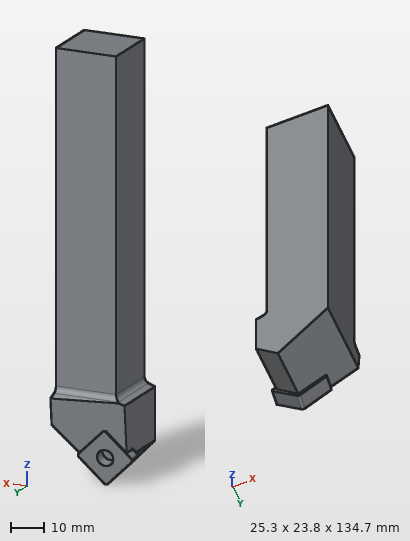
import cadquery as cq
import math

overall_height = 134.7
shank_size = 19.9

head_width = 23.4
shoulder_top = 28.7
shoulder_radius = 2.0
shoulder_angle = 20.0
head_right_corner = 17.4
head_left_corner = 9.2
head_tip_x = -16.3
head_tip_z = 1.8

rake_slope = 0.1
rake_depth = 23.8
rake_height = 26.1
cutter_size = 107.7

insert_side = 12.7
insert_thickness = 4.7
insert_corner_radius = 0.8
insert_hole_diameter = 5.1
insert_proud = 0.4
insert_center_x = -16.7
insert_center_z = 8.6
insert_turn = 45.0


def rake_plane(x, z, lift=0.0):
    """Plane on the rake face at (x, z), facing rearward, raised along its normal."""
    depth = rake_depth + rake_slope * (x + z - rake_height)
    face = cq.Plane(
        origin=(x, depth, z),
        xDir=(1, rake_slope, 0),
        normal=(-rake_slope, 1, -rake_slope),
    )
    return cq.Plane(origin=face.toWorldCoords((0, 0, lift)), xDir=face.xDir, normal=face.zDir)


def shoulder_points(reach):
    """Shoulder as (distance out, height): arc start, middle, end, then the slope at reach."""
    def on_arc(turn):
        angle = math.radians(turn)
        out = shank_size + shoulder_radius * (1 - math.cos(angle))
        return out, shoulder_top - shoulder_radius * math.sin(angle)

    arc_turn = 90 - shoulder_angle
    end_out, end_height = on_arc(arc_turn)
    drop = (reach - end_out) * math.tan(math.radians(shoulder_angle))
    return [on_arc(0), on_arc(arc_turn / 2), (end_out, end_height), (reach, end_height - drop)]


def front_prism(depth):
    """Shank and pointed head outlined in XZ, running rearward from the front face."""
    start, middle, end, edge = [(-out, height) for out, height in shoulder_points(head_width)]
    return (
        cq.Workplane("XZ")
        .moveTo(0, overall_height)
        .lineTo(-shank_size, overall_height)
        .lineTo(*start)
        .threePointArc(middle, end)
        .lineTo(*edge)
        .lineTo(-head_width, head_left_corner)
        .lineTo(head_tip_x, head_tip_z)
        .lineTo(0, head_right_corner)
        .close()
        .extrude(-depth)
    )


def side_prism(depth):
    """Shank and head outlined in YZ, running across the head width."""
    start, middle, end, edge = shoulder_points(depth)
    return (
        cq.Workplane("YZ")
        .moveTo(0, overall_height)
        .lineTo(shank_size, overall_height)
        .lineTo(*start)
        .threePointArc(middle, end)
        .lineTo(*edge)
        .lineTo(depth, 0)
        .lineTo(0, 0)
        .close()
        .extrude(-head_width)
    )


def make_insert_blank():
    """Insert without its hole; also the shape of its seat in the holder."""
    seat = rake_plane(insert_center_x, insert_center_z, insert_proud)
    return (
        cq.Workplane(seat)
        .transformed(rotate=(0, 0, insert_turn))
        .rect(insert_side, insert_side)
        .extrude(-insert_thickness)
        .edges(cq.selectors.ParallelDirSelector(seat.zDir))
        .fillet(insert_corner_radius)
    )


def make_insert():
    hole = (
        cq.Workplane(rake_plane(insert_center_x, insert_center_z, insert_proud))
        .circle(insert_hole_diameter / 2)
        .extrude(-insert_thickness)
    )
    return make_insert_blank().cut(hole)


def make_holder():
    untrimmed_depth = rake_depth + 1.3
    body = front_prism(untrimmed_depth).intersect(side_prism(untrimmed_depth))
    behind_rake_face = (
        cq.Workplane(rake_plane(0, rake_height)).rect(cutter_size, cutter_size).extrude(cutter_size)
    )
    return body.cut(behind_rake_face).cut(make_insert_blank())


holder = make_holder()
insert = make_insert()

result = cq.Compound.makeCompound([holder.val(), insert.val()])